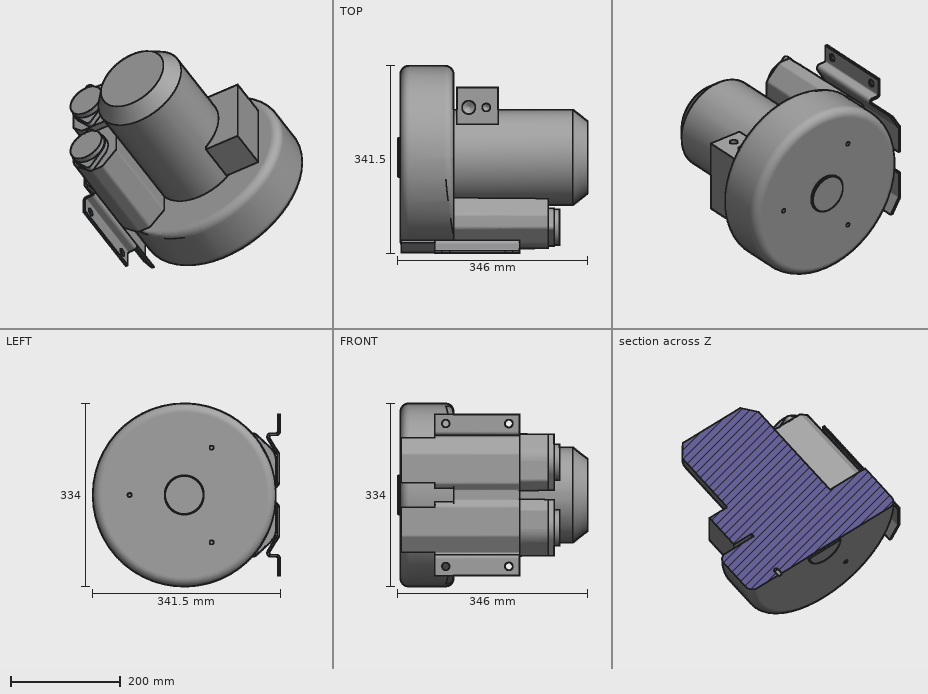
import cadquery as cq
import math


casing_front = 4.0
casing_rear = 101.7
casing_diameter = 334.0
casing_radius = casing_diameter / 2
rim_radius = 16.0
rim_fade_angle = 70.0
rim_fade_steps = 5
rim_least_setback = 0.17
cutter_margin = 7.0
bolt_circle_radius = 99.5
bolt_hole_radius = 3.8
bolt_hole_depth = 14.0
bolt_hole_count = 3

cap_radius = 36.0
cap_chamfer = 1.5

motor_radius = 87.2
motor_end = 346.0
motor_cone_length = 27.5
motor_end_radius = 65.7

box_start = 107.5
box_length = 75.0
box_inner_y = 60.5
box_outer_y = 127.5
box_half_height = 69.2
cable_hole_y = 91.0
cable_holes = [(129.0, 12.0), (161.0, 7.3)]
cable_hole_depth = 20.8
drill_point_angle = 118.0

port_end = 274.0
port_draft = 0.5
port_bottom_y = -165.7
port_top_y = -75.0
port_inner_z = 8.3
port_outer_z = 110.7
port_inner_chamfer = 18.0
port_upper_chamfer = 29.5
port_slope_start_z = 76.0
port_slope_end_y = -128.5
port_slope_radius = 33.0
port_corner_radius = 7.0

outlet_y = -127.0
outlet_z = 60.0
flange_thickness = 10.5
flange_radius = 34.5
lobe_radius = 7.0
lobe_offset = 44.0
outlet_radius = 33.0
outlet_end = 294.8

sheet = 4.0
bend_radius = 5.2
overall_depth = 341.5
foot_y = casing_radius - overall_depth
flat_y = -173.5
web_y = -164.0
foot_end_z = 146.7
leg_z = 110.7
slope_angle = 32.0
slope_start_z = 74.5
lip_start_z = 21.5
lip_end_z = 10.0
bracket_start = 67.5
bracket_end = 221.8
tongue_start = 6.0
tongue_inner_z = 22.5
tongue_outer_z = 104.0
foot_hole_radius = 7.0
foot_hole_x = [87.2, 202.0]
foot_hole_z = 130.0


def drilled_hole(radius, depth):
    """Blind drilled hole entering at the origin and running along +X, with a conical bottom."""
    point = radius / math.tan(math.radians(drill_point_angle / 2))
    outline = [(0, 0), (0, radius), (depth, radius), (depth + point, 0)]
    return cq.Workplane("XY").polyline(outline).close().revolve(360, (0, 0, 0), (1, 0, 0))


def rim_section(setback):
    """Wire in the XY plane around the material that rounds off the rear rim."""
    rounding_x = casing_rear - setback
    rounding_y = casing_radius - setback
    middle = setback * math.sqrt(0.5)
    outer_x = casing_rear + cutter_margin
    outer_y = casing_radius + cutter_margin
    return (
        cq.Workplane("XY")
        .moveTo(casing_rear, rounding_y)
        .threePointArc((rounding_x + middle, rounding_y + middle), (rounding_x, casing_radius))
        .lineTo(rounding_x, outer_y)
        .lineTo(outer_x, outer_y)
        .lineTo(outer_x, rounding_y)
        .close()
    )


def rim_fade_cutter():
    """Rounding that shrinks smoothly to almost nothing from the top of the casing towards -Y."""
    sections = []
    for step in range(rim_fade_steps + 1):
        part = step / rim_fade_steps
        fade = part * part * (3 - 2 * part)
        setback = max(rim_radius * (1 - fade), rim_least_setback)
        turn = 90 + rim_fade_angle * part
        wire = rim_section(setback).wires().val()
        sections.append(wire.rotate(cq.Vector(0, 0, 0), cq.Vector(1, 0, 0), turn))
    return cq.Workplane(obj=cq.Solid.makeLoft(sections))


def make_casing():
    depth = casing_rear - casing_front
    drum = cq.Workplane("YZ", origin=(casing_front, 0, 0)).circle(casing_radius).extrude(depth)
    drum = drum.faces("<X").edges().fillet(rim_radius)
    half_rim = rim_section(rim_radius).revolve(180, (0, 0, 0), (1, 0, 0))
    drum = drum.cut(half_rim.rotate((0, 0, 0), (1, 0, 0), -90))
    fade = rim_fade_cutter()
    return drum.cut(fade).cut(fade.mirror("XY"))


def make_motor():
    cone_start = motor_end - motor_cone_length
    outline = [
        (casing_rear, 0),
        (casing_rear, motor_radius),
        (cone_start, motor_radius),
        (motor_end, motor_end_radius),
        (motor_end, 0),
    ]
    return cq.Workplane("XY").polyline(outline).close().revolve(360, (0, 0, 0), (1, 0, 0))


def make_terminal_box():
    box = cq.Workplane("XY").box(
        box_length, box_outer_y - box_inner_y, 2 * box_half_height, centered=False
    )
    box = box.translate((box_start, box_inner_y, -box_half_height))
    for x, radius in cable_holes:
        hole = drilled_hole(radius, cable_hole_depth).rotate((0, 0, 0), (0, 1, 0), 90)
        box = box.cut(hole.translate((x, cable_hole_y, box_half_height)))
    return box


def make_port_block():
    """Upper port block, widening slightly from its end back to the casing."""
    slope_corner = (port_bottom_y, port_slope_start_z)
    small_corners = [
        (port_slope_end_y, port_outer_z),
        (port_top_y - port_upper_chamfer, port_outer_z),
        (port_top_y, port_outer_z - port_upper_chamfer),
        (port_top_y, port_inner_z),
        (port_bottom_y + port_inner_chamfer, port_inner_z),
        (port_bottom_y, port_inner_z + port_inner_chamfer),
    ]
    profile = (
        cq.Sketch()
        .polygon([slope_corner, *small_corners, slope_corner])
        .vertices(cq.selectors.NearestToPointSelector((*slope_corner, 0)))
        .fillet(port_slope_radius)
    )
    for corner in small_corners:
        profile = profile.reset().vertices(cq.selectors.NearestToPointSelector((*corner, 0)))
        profile = profile.fillet(port_corner_radius)
    length = port_end - casing_rear
    return (
        cq.Workplane("YZ", origin=(port_end, 0, 0))
        .placeSketch(profile.reset())
        .extrude(-length, taper=-port_draft)
    )


def make_outlet():
    """Flange shaped like a disc with two small lobes, and the round outlet on it."""
    flange = (
        cq.Sketch()
        .arc((0, 0), flange_radius, 0, 360)
        .arc((0, lobe_offset), lobe_radius, 0, 360)
        .arc((0, -lobe_offset), lobe_radius, 0, 360)
        .hull()
    )
    plane = cq.Workplane("YZ", origin=(port_end, outlet_y, outlet_z))
    outlet = plane.circle(outlet_radius).extrude(outlet_end - port_end)
    return plane.placeSketch(flange).extrude(flange_thickness).union(outlet)


def make_blower():
    port = make_port_block().union(make_outlet())
    blower = make_casing().union(make_motor()).union(make_terminal_box())
    blower = blower.union(port).union(port.mirror("XY"))
    for index in range(bolt_hole_count):
        hole = drilled_hole(bolt_hole_radius, bolt_hole_depth)
        hole = hole.translate((casing_front, bolt_circle_radius, 0))
        turn = index * 360 / bolt_hole_count
        blower = blower.cut(hole.rotate((0, 0, 0), (1, 0, 0), turn))
    return blower


def make_cap():
    cap = cq.Workplane("YZ").circle(cap_radius).extrude(casing_front)
    return cap.faces("<X").edges().chamfer(cap_chamfer)


def bent_sheet(points):
    """Cross-section of the sheet along a path of (y, z) points, with every corner bent round."""
    path = cq.Wire.makePolygon([cq.Vector(0, y, z) for y, z in points])
    return path.fillet(bend_radius, path.Vertices()[1:-1]).offset2D(sheet / 2)[0]


def mirrored_slabs(start, end, inner_z, outer_z):
    """Two blocks, mirrored about the XY plane, that span the bracket's whole depth in Y."""
    depth = 2 * abs(foot_y)
    upper = cq.Workplane("XY").box(end - start, depth, outer_z - inner_z, centered=False)
    upper = upper.translate((start, -depth, inner_z))
    return upper.union(upper.mirror("XY"))


def make_bracket(blower):
    foot = foot_y + sheet / 2
    flat = flat_y + sheet / 2
    web = web_y + sheet / 2
    leg_inner_y = flat + (leg_z - slope_start_z) * math.tan(math.radians(slope_angle))
    half_path = [
        (foot, foot_end_z + sheet),
        (foot, leg_z),
        (leg_inner_y, leg_z),
        (flat, slope_start_z),
        (flat, lip_start_z),
        (web, lip_end_z),
    ]
    path = half_path + [(y, -z) for y, z in reversed(half_path)]
    length = bracket_end - tongue_start
    strip = cq.Solid.extrudeLinear(bent_sheet(path), [], cq.Vector(length, 0, 0))
    bracket = cq.Workplane(obj=strip).translate((tongue_start, 0, 0))

    full_width = mirrored_slabs(bracket_start, bracket_end, 0, foot_end_z)
    tongues = mirrored_slabs(tongue_start, bracket_start, tongue_inner_z, tongue_outer_z)
    bracket = bracket.intersect(full_width.union(tongues))

    foot_holes = (
        cq.Workplane("XZ")
        .pushPoints([(x, z) for x in foot_hole_x for z in (foot_hole_z, -foot_hole_z)])
        .circle(foot_hole_radius)
        .extrude(abs(foot_y))
    )
    return bracket.cut(foot_holes).cut(blower)


blower = make_blower()
cap = make_cap()
bracket = make_bracket(blower)
result = cq.Compound.makeCompound([body.solids().val() for body in (blower, cap, bracket)])